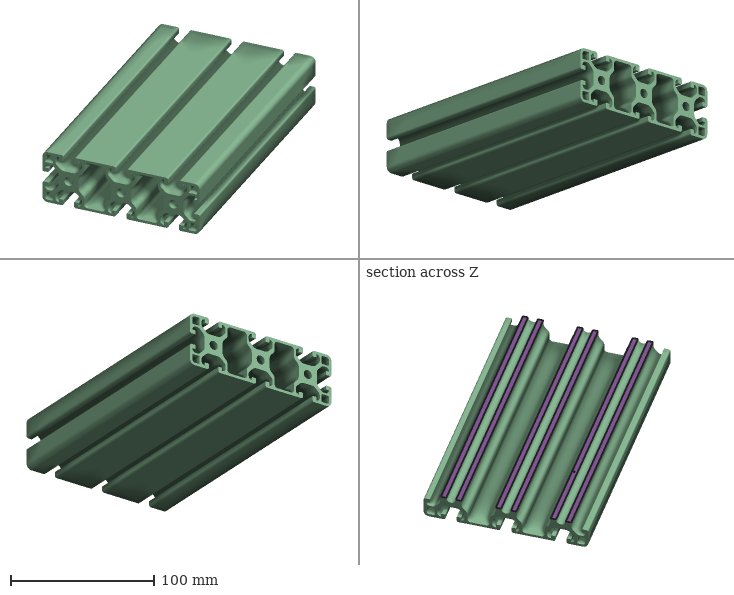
import cadquery as cq

length = 200.0
cell = 40.0
cell_count = 3
width = cell * cell_count
half_cell = cell / 2
corner_radius = 4.0
skin = 2.0
bore_diameter = 6.8

mouth_width = 8.2
lip_depth = 4.5
lip_width = 3.2
mouth_radius = 1.5
lip_tip_radius = 0.5
chamber_half_width = 10.2
chamber_radius = 2.8
core_half_width = 7.5
diagonal_offset = 2.2
floor_radius = 5.0

web = 1.5
hollow_radius = 2.5
neck_radius = 4.0
corner_hollow_radius = 0.5

cell_centers = [(i - (cell_count - 1) / 2) * cell for i in range(cell_count)]
roof = half_cell - skin
web_outside = chamber_half_width + web


def prism(points):
    """Extrude a closed XZ outline along the whole length, centred on Y."""
    return cq.Workplane("XZ").polyline(points).close().extrude(length / 2, both=True)


def bar(x_min, x_max, z_min, z_max):
    """Full-length rectangular bar."""
    return prism([(x_min, z_min), (x_max, z_min), (x_max, z_max), (x_min, z_max)])


def make_chamber():
    """Wide inner part of an upward-facing slot."""
    floor_half = core_half_width - diagonal_offset
    shoulder = chamber_half_width + diagonal_offset
    chamber = prism([
        (-floor_half, core_half_width),
        (floor_half, core_half_width),
        (chamber_half_width, shoulder),
        (chamber_half_width, roof),
        (-chamber_half_width, roof),
        (-chamber_half_width, shoulder),
    ])
    chamber = chamber.faces("<Z").edges("|Y").fillet(floor_radius)
    return chamber.edges("|Y and (<X or >X)").fillet(chamber_radius)


def make_slot():
    """Cutter for an upward-facing slot: chamber and mouth, less the two lips."""
    mouth_half = mouth_width / 2
    lip_outside = mouth_half + lip_width
    lip_bottom = half_cell - lip_depth
    lip = bar(mouth_half, lip_outside, lip_bottom, half_cell)
    lip = lip.edges("|Y and <X and >Z").fillet(mouth_radius)
    lip = lip.faces("<Z").edges("|Y").fillet(lip_tip_radius)
    opening = bar(-lip_outside, lip_outside, lip_bottom, half_cell)
    return make_chamber().union(opening).cut(lip).cut(lip.mirror("YZ"))


def make_cell_hollow():
    """Large hollow between two neighbouring cells, centred on the origin."""
    middle_half = half_cell - core_half_width
    neck_half = half_cell - web_outside
    flank = core_half_width - diagonal_offset
    neck = web_outside - diagonal_offset
    right_side = [
        (neck_half, -roof),
        (neck_half, -neck),
        (middle_half, -flank),
        (middle_half, flank),
        (neck_half, neck),
        (neck_half, roof),
    ]
    left_side = [(-x, -z) for x, z in right_side]
    hollow = prism(right_side + left_side)
    hollow = hollow.faces("<Z or >Z").edges("|Y").fillet(hollow_radius)
    hollow = hollow.faces("<X or >X").edges("|Y").fillet(floor_radius)
    for x in (-neck_half, neck_half):
        for z in (-neck, neck):
            neck_edge = cq.selectors.NearestToPointSelector((x, 0, z))
            hollow = hollow.edges("|Y").edges(neck_edge).fillet(neck_radius)
    return hollow


def turned(cutter, angle):
    """Turn a cutter about the Y axis."""
    return cutter.rotate((0, 0, 0), (0, 1, 0), angle)


result = bar(-width / 2, width / 2, -half_cell, half_cell)
result = result.edges("|Y").fillet(corner_radius)

slot = make_slot()
for x in cell_centers:
    result = result.cut(slot.translate((x, 0, 0)))
    result = result.cut(turned(slot, 180).translate((x, 0, 0)))
result = result.cut(turned(slot, 90).translate((cell_centers[-1], 0, 0)))
result = result.cut(turned(slot, -90).translate((cell_centers[0], 0, 0)))

cell_hollow = make_cell_hollow()
for left, right in zip(cell_centers, cell_centers[1:]):
    result = result.cut(cell_hollow.translate(((left + right) / 2, 0, 0)))

corner_hollow = bar(width / 2 - half_cell + web_outside, width / 2 - skin, web_outside, roof)
corner_hollow = corner_hollow.edges("|Y and >X and >Z").fillet(corner_radius - skin)
corner_hollow = corner_hollow.edges("|Y and (<X or <Z)").fillet(corner_hollow_radius)
for upper in (corner_hollow, corner_hollow.mirror("YZ")):
    result = result.cut(upper).cut(upper.mirror("XY"))

bores = cq.Workplane("XZ").pushPoints([(x, 0) for x in cell_centers])
result = result.cut(bores.circle(bore_diameter / 2).extrude(length / 2, both=True))